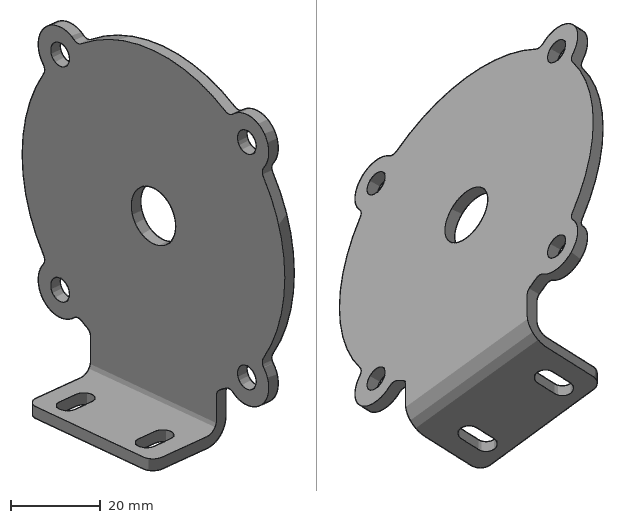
import cadquery as cq
import math

overall_height = 91.7
disc_radius = 41.66
thickness = 3.0
bore_diameter = 14.0

ear_radius = 7.0
ear_offset = 29.6
ear_hole_diameter = 5.9
junction_radius = 2.0

flange_width = 40.0
flange_reach = 23.0
flange_corner_radius = 3.0
bend_inner_radius = 3.0
bend_outer_radius = bend_inner_radius + thickness

slot_spacing = 25.0
slot_width = 4.95
slot_length = 10.1
slot_distance = 15.0

bottom = disc_radius - overall_height
bend_top = bottom + bend_outer_radius
ear_centers = [(x, z) for x in (-ear_offset, ear_offset) for z in (-ear_offset, ear_offset)]


def make_plate():
    """Upright disc with four ears and a straight neck down to the bend."""
    front = cq.Workplane("XZ")
    disc = front.circle(disc_radius).extrude(thickness)
    ears = front.pushPoints(ear_centers).circle(ear_radius).extrude(thickness)
    neck = (
        front.center(0, bend_top / 2)
        .rect(flange_width, abs(bend_top))
        .extrude(thickness)
    )
    plate = disc.union(ears).union(neck)

    rim_tolerance = 0.001
    junctions = plate.edges("|Y").filter(
        lambda edge: abs(math.hypot(edge.Center().x, edge.Center().z) - disc_radius) < rim_tolerance
        and abs(edge.Center().z) > rim_tolerance
    )
    plate = junctions.fillet(junction_radius)

    holes = front.pushPoints(ear_centers).circle(ear_hole_diameter / 2).extrude(thickness)
    bore = front.circle(bore_diameter / 2).extrude(thickness)
    return plate.cut(holes).cut(bore)


def make_flange():
    """Quarter-round bend and horizontal flange with two adjusting slots."""
    flange = (
        cq.Workplane("YZ")
        .moveTo(0, bend_top)
        .radiusArc((-bend_outer_radius, bottom), bend_outer_radius)
        .lineTo(-flange_reach, bottom)
        .lineTo(-flange_reach, bottom + thickness)
        .lineTo(-bend_outer_radius, bottom + thickness)
        .radiusArc((-thickness, bend_top), -bend_inner_radius)
        .close()
        .extrude(flange_width / 2, both=True)
    )
    flange = flange.faces("<Y").edges("|Z").fillet(flange_corner_radius)
    slots = (
        cq.Workplane("XY", origin=(0, -slot_distance, bottom))
        .pushPoints([(-slot_spacing / 2, 0), (slot_spacing / 2, 0)])
        .slot2D(slot_length, slot_width, 90)
        .extrude(thickness)
    )
    return flange.cut(slots)


result = make_plate().union(make_flange())